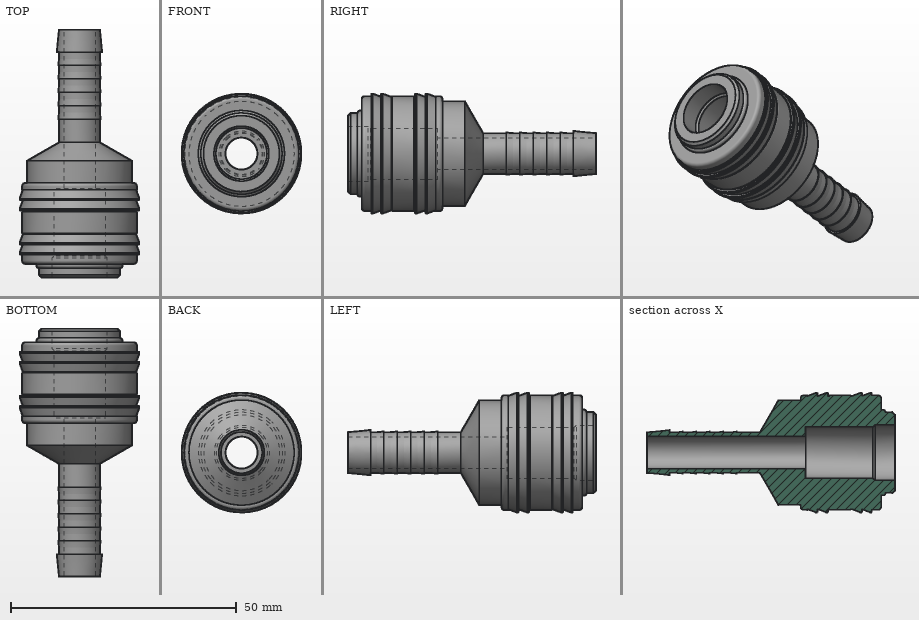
import cadquery as cq

total_length = 55.0

nose_radius = 9.0
nose_chamfer = 0.6
collar_start = 2.1
collar_radius = 9.55
collar_fillet = 0.6

sleeve_start = 3.0
sleeve_end = 21.0
sleeve_radius = 12.75
sleeve_fillet = 0.75
waist_start = 9.8
waist_end = 14.65
waist_fillet = 0.2
valley_radius = 12.6

rib_radius = 13.3
rib_land = 0.4
rib_tip_chamfer = 0.15
rib_length = 2.3
rib_starts = (5.1, 7.3, 14.85, 17.15)

shoulder_radius = 11.65
shoulder_end = 25.9
neck_start = 30.0
tail_radius = 4.55
end_barb_radius = 5.05
end_barb_start = 50.0
barb_radius = 4.75
barb_pitch = 2.95
barb_length = barb_pitch / 2
barb_count = 5

socket_radius = 6.1
socket_depth = 4.4
inner_socket_radius = 5.65
socket_taper_length = 0.5
inner_socket_depth = 19.8
bore_radius = 3.5


def cylinder(radius, start, end):
    """Cylinder on the Y axis between two stations."""
    return cq.Workplane("XZ", origin=(0, start, 0)).circle(radius).extrude(start - end)


def revolve_profile(points):
    """Solid of revolution about Y from (radius, station) points."""
    return cq.Workplane("XY").polyline(points).close().revolve(360, (0, 0, 0), (0, 1, 0))


def cone(start_radius, end_radius, start, end):
    """Cone frustum on the Y axis between two stations."""
    return revolve_profile([(0, start), (start_radius, start), (end_radius, end), (0, end)])


def grip_rib(start):
    """Steep front face, narrow tip land and a long taper to the rear."""
    return revolve_profile([
        (0, start),
        (rib_radius - rib_tip_chamfer, start),
        (rib_radius, start + rib_tip_chamfer),
        (rib_radius, start + rib_land),
        (valley_radius, start + rib_length),
        (0, start + rib_length),
    ])


nose = cylinder(nose_radius, 0, sleeve_start).faces("<Y").chamfer(nose_chamfer)
collar = cylinder(collar_radius, collar_start, sleeve_start).faces("<Y").edges().fillet(collar_fillet)

front_band = cylinder(sleeve_radius, sleeve_start, rib_starts[0]).faces("<Y").edges().fillet(sleeve_fillet)
rear_band_start = rib_starts[-1] + rib_length
rear_band = cylinder(sleeve_radius, rear_band_start, sleeve_end).faces(">Y").edges().fillet(sleeve_fillet)
waist = cylinder(sleeve_radius, waist_start, waist_end).edges().fillet(waist_fillet)
core = cylinder(valley_radius, rib_starts[0], rear_band_start)

body = nose.union(collar).union(core).union(front_band).union(rear_band).union(waist)
for rib_start in rib_starts:
    body = body.union(grip_rib(rib_start))

body = body.union(cylinder(shoulder_radius, sleeve_end, shoulder_end))
body = body.union(cone(shoulder_radius, tail_radius, shoulder_end, neck_start))
body = body.union(cylinder(tail_radius, neck_start, total_length))

body = body.union(cone(end_barb_radius, tail_radius, end_barb_start, total_length))
for index in range(1, barb_count + 1):
    barb_start = end_barb_start - index * barb_pitch
    body = body.union(cone(barb_radius, tail_radius, barb_start, barb_start + barb_length))

taper_end = socket_depth + socket_taper_length
socket = cylinder(socket_radius, 0, socket_depth)
socket_taper = cone(socket_radius, inner_socket_radius, socket_depth, taper_end)
inner_socket = cylinder(inner_socket_radius, taper_end, inner_socket_depth)
bore = cylinder(bore_radius, 0, total_length)

result = body.cut(socket).cut(socket_taper).cut(inner_socket).cut(bore)